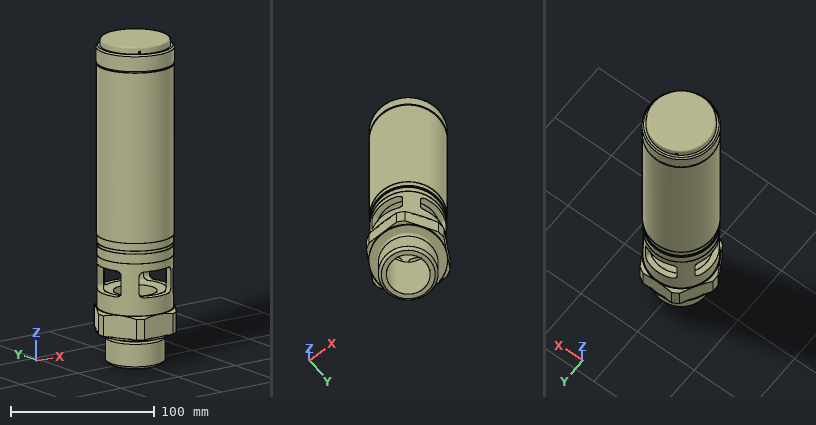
import cadquery as cq
import math

TOTAL_HEIGHT = 235.3

THREAD_RADIUS = 21.0
THREAD_CHAMFER = 2.1
THREAD_TOP = 18.4
UNDERCUT_RADIUS = 19.5
UNDERCUT_BOTTOM = THREAD_TOP + THREAD_RADIUS - UNDERCUT_RADIUS
UNDERCUT_FILLET = 2.1
BORE_RADIUS = 15.3

HEX_ACROSS_FLATS = 55.0
HEX_ACROSS_ROUNDED_CORNERS = 60.5
HEX_CORNER_RADIUS = HEX_ACROSS_ROUNDED_CORNERS / 2
HEX_CHAMFER_ANGLE = 30.0
WASHER_FACE_BOTTOM = 22.5
HEX_BOTTOM = 24.0
HEX_TOP = 40.5
WASHER_RADIUS = HEX_ACROSS_FLATS / 2

CAGE_RADIUS = 26.8
COLLAR_RADIUS = 27.0
COLLAR_BOTTOM = 78.4
GROOVE_RADIUS = 26.5
GROOVE_BOTTOM = 85.5
GROOVE_TOP = 87.5
BASE_TOP = 93.2
CHAMBER_RADIUS = 22.4
CHAMBER_FLOOR = 51.8
CHAMBER_FILLET = 2.4

WINDOW_WIDTH = 27.8
WINDOW_HEIGHT = 18.8
WINDOW_BOTTOM = 53.5
WINDOW_CORNER_RADIUS = 3.5

TUBE_RADIUS = 27.3
TUBE_TOP = 216.7

CAP_RADIUS = 27.5
CAP_TOP = 230.0
CAP_CHAMFER = 1.2

LID_RADIUS = 24.7
LID_FILLET = 2.0
HOLE_COUNT = 3
HOLE_RADIUS = 0.7
HOLE_DEPTH = 2.4
HOLE_Z = 231.0


def cylinder(radius, bottom, top):
    return cq.Workplane("XY").workplane(offset=bottom).circle(radius).extrude(top - bottom)


def make_threaded_stub():
    outline = (
        cq.Workplane("XZ")
        .lineTo(THREAD_RADIUS - THREAD_CHAMFER, 0)
        .lineTo(THREAD_RADIUS, THREAD_CHAMFER)
        .lineTo(THREAD_RADIUS, THREAD_TOP)
        .lineTo(UNDERCUT_RADIUS, UNDERCUT_BOTTOM)
        .lineTo(UNDERCUT_RADIUS, WASHER_FACE_BOTTOM - UNDERCUT_FILLET)
        .radiusArc((UNDERCUT_RADIUS + UNDERCUT_FILLET, WASHER_FACE_BOTTOM), UNDERCUT_FILLET)
        .lineTo(0, WASHER_FACE_BOTTOM)
        .close()
    )
    return outline.revolve(360, (0, 0), (0, 1))


def make_hexagon():
    """Hexagon with corners on the X axis, rounded and chamfered by a turned envelope."""
    across_corners = HEX_ACROSS_FLATS / math.cos(math.pi / 6)
    hexagon = (
        cq.Workplane("XY")
        .workplane(offset=HEX_BOTTOM)
        .polygon(6, across_corners)
        .extrude(HEX_TOP - HEX_BOTTOM)
    )
    chamfer_width = HEX_CORNER_RADIUS - WASHER_RADIUS
    chamfer_drop = chamfer_width * math.tan(math.radians(HEX_CHAMFER_ANGLE))
    envelope_outline = [
        (0, HEX_BOTTOM),
        (HEX_CORNER_RADIUS, HEX_BOTTOM),
        (HEX_CORNER_RADIUS, HEX_TOP - chamfer_drop),
        (WASHER_RADIUS, HEX_TOP),
        (0, HEX_TOP),
    ]
    envelope = cq.Workplane("XZ").polyline(envelope_outline).close().revolve(360, (0, 0), (0, 1))
    return hexagon.intersect(envelope)


def make_window(direction):
    """Rounded rectangular bar that cuts two opposite windows; direction 0 runs along Y."""
    return (
        cq.Workplane("XY")
        .box(WINDOW_WIDTH, 2 * HEX_CORNER_RADIUS, WINDOW_HEIGHT)
        .edges("|Y")
        .fillet(WINDOW_CORNER_RADIUS)
        .translate((0, 0, WINDOW_BOTTOM + WINDOW_HEIGHT / 2))
        .rotate((0, 0, 0), (0, 0, 1), direction)
    )


def make_base():
    chamber = cylinder(CHAMBER_RADIUS, CHAMBER_FLOOR, BASE_TOP).faces("<Z").edges().fillet(CHAMBER_FILLET)
    base = (
        make_threaded_stub()
        .union(cylinder(WASHER_RADIUS, WASHER_FACE_BOTTOM, HEX_BOTTOM))
        .union(make_hexagon())
        .union(cylinder(CAGE_RADIUS, HEX_TOP, COLLAR_BOTTOM))
        .union(cylinder(COLLAR_RADIUS, COLLAR_BOTTOM, GROOVE_BOTTOM))
        .union(cylinder(GROOVE_RADIUS, GROOVE_BOTTOM, GROOVE_TOP))
        .union(cylinder(COLLAR_RADIUS, GROOVE_TOP, BASE_TOP))
        .cut(chamber)
        .cut(cylinder(BORE_RADIUS, 0, CHAMBER_FLOOR))
    )
    for direction in (0, 90):
        base = base.cut(make_window(direction))
    return base


def make_tube():
    return cylinder(TUBE_RADIUS, BASE_TOP, TUBE_TOP)


def make_cap():
    """Disc chamfered at both ends; its lower chamfer leaves a V groove above the tube."""
    return cylinder(CAP_RADIUS, TUBE_TOP, CAP_TOP).faces("<Z or >Z").edges().chamfer(CAP_CHAMFER)


def make_lid():
    lid = cylinder(LID_RADIUS, CAP_TOP, TOTAL_HEIGHT).faces(">Z").edges().fillet(LID_FILLET)
    lid = lid.rotate((0, 0, 0), (0, 0, 1), 180)
    hole = (
        cq.Workplane("YZ")
        .workplane(offset=LID_RADIUS - HOLE_DEPTH)
        .center(0, HOLE_Z)
        .circle(HOLE_RADIUS)
        .extrude(2 * HOLE_DEPTH)
    )
    for index in range(HOLE_COUNT):
        lid = lid.cut(hole.rotate((0, 0, 0), (0, 0, 1), index * 360 / HOLE_COUNT))
    return lid


base = make_base()
tube = make_tube()
cap = make_cap()
lid = make_lid()

result = cq.Compound.makeCompound([base.val(), tube.val(), cap.val(), lid.val()])